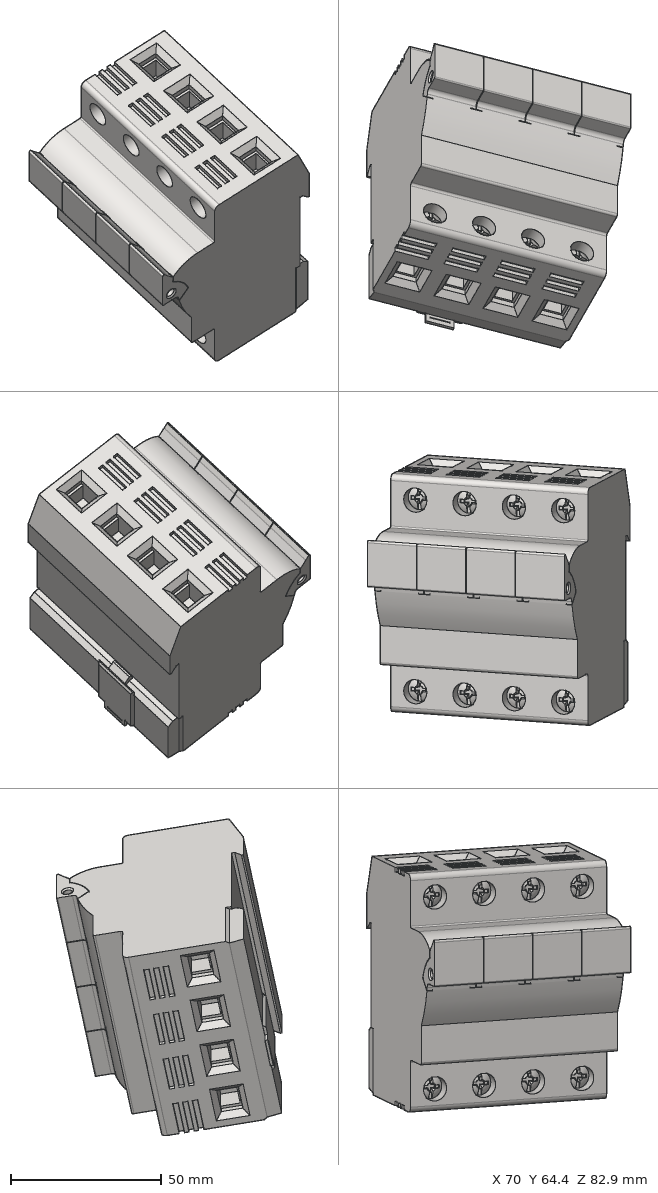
import cadquery as cq


module_count = 4
module_width = 17.5
width = module_count * module_width

body_top = 80.8
back_y = 4.0
front_y = -36.9
top_back_y = -0.9
back_slope_z = 67.4
rail_lip_z = 55.5
rail_lip_width = 0.6
rail_top_z = 57.9
rail_top_y = 1.1
edge_round = 2.0

nose_top_z = 62.85
nose_flat_y = -44.25
nose_tip_y = -54.9
nose_tip_z = 58.25
nose_face_y = -47.0
nose_face_top_z = 31.4
nose_bottom_z = 18.0
nose_curve_radius = 41.0
nose_curve_center_z = 53.0
nose_bottom_round = 0.8
nose_top_round = 0.5


def nose_front_y(z):
    """Y of the nose's convex lower front, a circular arc ending on the flat nose face."""
    face_rise = nose_face_top_z - nose_curve_center_z
    face_reach = (nose_curve_radius**2 - face_rise**2) ** 0.5
    reach = (nose_curve_radius**2 - (z - nose_curve_center_z) ** 2) ** 0.5
    return nose_face_y + face_reach - reach


seam_upper = (nose_tip_y, 55.8)
seam_shoulder = (-52.7, 54.3)
seam_mid = (-50.2, 51.5)
seam_corner = (-48.4, 47.9)
seam_bottom_z = 44.2
seam_bottom = (nose_front_y(seam_bottom_z), seam_bottom_z)

handle_front_y = -59.35
handle_top_z = 62.5
handle_bottom_z = 46.8
handle_tip_round = 0.7
handle_slope_break = (-57.3, 60.85)
handle_corner_round = 0.4
handle_neck_y = -53.9
handle_neck_drop = 1.5
handle_neck_round = 1.5
handle_gap = 0.25
cheek_width = 2.05
cheek_clearance = 0.15
pin_y = -55.6
pin_z = 50.35
pin_radius = 1.55
pin_chamfer = 0.55

screw_rows_z = (7.65, 72.7)
screw_radius = 4.1
screw_depth = 4.5
screw_dome_height = 1.2
slot_width = 1.2
slot_depth = 1.4
cross_length = 6.0
cross_core_length = 4.0
cross_core_radius = 1.6
cross_core_depth = 2.6

entry_y = -12.1
entry_size_x = 12.4
entry_size_y = 11.4
entry_slope = 2.05
throat_depth = 2.0
terminal_size_x = 6.4
terminal_size_y = 6.6
terminal_depth = 8.0

vent_length = 11.7
vent_width = 1.8
vent_pitch = 3.3
vent_first_y = -23.4
vent_rows = 3
vent_depth = 1.5

foot_front_y = -2.0
foot_slope_y = -0.9
foot_inset = 0.83
foot_height = 22.5
foot_edge_z = 20.9
foot_edge_y = 2.0
foot_bottom_rise = 1.2

clip_center_x = 1.5 * module_width
clip_width = module_width
clip_thickness = 1.0
clip_bottom_z = 1.6
clip_top_z = 22.9
clip_top_chamfer_z = 1.0
clip_top_chamfer_y = 0.6
clip_bevel = 0.9
tail_width = 10.0
tail_drop = 2.09
tail_slot_width = 7.2
tail_slot_height = 0.3
hook_width = 8.0
hook_tip_z = 25.0
hook_tip_back_y = 2.0
hook_tip_front_y = 1.2
hook_front_y = 0.6
hook_front_top_z = 23.3
hook_root_z = foot_edge_z - 1.0


def module_center(index):
    return (index + 0.5) * module_width


def prism(profile, start_x, length):
    """Extrude a closed YZ outline along X from start_x."""
    return profile.extrude(length).translate((start_x, 0, 0))


def body_section():
    return (
        cq.Workplane("YZ")
        .moveTo(foot_front_y, 0)
        .lineTo(foot_front_y, foot_height)
        .lineTo(0, foot_height)
        .lineTo(0, rail_top_z)
        .lineTo(rail_top_y, rail_top_z)
        .lineTo(back_y - rail_lip_width, rail_lip_z)
        .lineTo(back_y, rail_lip_z)
        .lineTo(back_y, back_slope_z)
        .lineTo(top_back_y, body_top)
        .lineTo(front_y + edge_round, body_top)
        .radiusArc((front_y, body_top - edge_round), -edge_round)
        .lineTo(front_y, nose_top_z + nose_top_round)
        .radiusArc((front_y - nose_top_round, nose_top_z), nose_top_round)
        .lineTo(nose_flat_y, nose_top_z)
        .tangentArcPoint((nose_tip_y, nose_tip_z), relative=False)
        .lineTo(*seam_upper)
        .lineTo(*seam_shoulder)
        .threePointArc(seam_mid, seam_corner)
        .lineTo(*seam_bottom)
        .radiusArc((nose_face_y, nose_face_top_z), -nose_curve_radius)
        .lineTo(nose_face_y, nose_bottom_z + nose_bottom_round)
        .radiusArc((nose_face_y + nose_bottom_round, nose_bottom_z), -nose_bottom_round)
        .lineTo(front_y - nose_bottom_round, nose_bottom_z)
        .radiusArc((front_y, nose_bottom_z - nose_bottom_round), nose_bottom_round)
        .lineTo(front_y, edge_round)
        .radiusArc((front_y + edge_round, 0), -edge_round)
        .close()
    )


def handle_section():
    neck_z = handle_bottom_z - handle_neck_drop
    return (
        cq.Workplane("YZ")
        .moveTo(nose_tip_y, nose_tip_z)
        .lineTo(*handle_slope_break)
        .lineTo(handle_front_y + handle_tip_round, handle_top_z)
        .radiusArc((handle_front_y, handle_top_z - handle_tip_round), -handle_tip_round)
        .lineTo(handle_front_y, handle_bottom_z + handle_corner_round)
        .radiusArc((handle_front_y + handle_corner_round, handle_bottom_z), -handle_corner_round)
        .lineTo(handle_neck_y, handle_bottom_z)
        .radiusArc((nose_front_y(neck_z), neck_z), handle_neck_round)
        .radiusArc(seam_bottom, -nose_curve_radius)
        .lineTo(*seam_corner)
        .threePointArc(seam_mid, seam_shoulder)
        .lineTo(*seam_upper)
        .close()
    )


def cheek_clearances():
    """Space around the handles at each module border, where they swing free."""
    cuts = cq.Workplane("YZ")
    for border in range(module_count + 1):
        strip = handle_section().offset2D(cheek_clearance)
        start_x = border * module_width - cheek_width
        cuts = cuts.add(prism(strip, start_x, 2 * cheek_width))
    return cuts.combine()


def handles():
    bar = prism(handle_section(), 0, width)
    for border in range(1, module_count):
        gap = prism(handle_section(), border * module_width - handle_gap / 2, handle_gap)
        bar = bar.cut(gap)
    return bar


def pin_hole():
    bore = cq.Workplane("YZ").center(pin_y, pin_z).circle(pin_radius).extrude(width)
    outer_radius = pin_radius + pin_chamfer
    axis = cq.Vector(1, 0, 0)
    start = cq.Solid.makeCone(outer_radius, pin_radius, pin_chamfer, cq.Vector(0, pin_y, pin_z), axis)
    end = cq.Solid.makeCone(outer_radius, pin_radius, pin_chamfer, cq.Vector(width, pin_y, pin_z), -axis)
    return bore.union(cq.Workplane(start)).union(cq.Workplane(end))


def arm(size_x, depth, size_z):
    """Driver recess arm reaching from the bore mouth to the given depth."""
    return cq.Workplane("XY").box(size_x, depth, size_z, (True, False, True))


def screw_recess():
    """Bore with a slotted, domed screw head at its floor; opens at the origin toward -Y."""
    dome_y = screw_depth - screw_dome_height
    bore = (
        cq.Workplane("XY")
        .moveTo(0, 0)
        .lineTo(screw_radius, 0)
        .lineTo(screw_radius, screw_depth)
        .threePointArc((screw_radius / 2, dome_y + screw_dome_height / 4), (0, dome_y))
        .close()
        .revolve(360, (0, 0), (0, 1))
    )
    slot_floor = dome_y + slot_depth
    core_floor = dome_y + cross_core_depth
    full_disc = cq.Workplane("XZ").circle(screw_radius).extrude(-slot_floor)
    slot = arm(slot_width, slot_floor, 2 * screw_radius).intersect(full_disc)
    cross = arm(cross_length, slot_floor, slot_width)
    socket = cq.Solid.makeCone(
        cross_core_radius,
        slot_width / 2,
        cross_core_depth,
        cq.Vector(0, dome_y, 0),
        cq.Vector(0, 1, 0),
    )
    core = (
        arm(cross_core_length, core_floor, slot_width)
        .union(arm(slot_width, core_floor, cross_core_length))
        .union(cq.Workplane(socket))
    )
    return bore.union(slot).union(cross).union(core)


def wire_opening():
    """Funnel, throat and terminal box, opening upward at Z = 0."""
    throat_x = entry_size_x - 2 * entry_slope
    throat_y = entry_size_y - 2 * entry_slope
    throat_floor = -entry_slope - throat_depth
    terminal_shift = (terminal_size_y - throat_y) / 2
    funnel = (
        cq.Workplane("XY")
        .rect(entry_size_x, entry_size_y)
        .workplane(offset=-entry_slope)
        .rect(throat_x, throat_y)
        .loft(ruled=True)
    )
    throat = cq.Workplane("XY", origin=(0, 0, -entry_slope)).rect(throat_x, throat_y).extrude(-throat_depth)
    terminal = (
        cq.Workplane("XY", origin=(0, terminal_shift, throat_floor))
        .rect(terminal_size_x, terminal_size_y)
        .extrude(-terminal_depth)
    )
    return funnel.union(throat).union(terminal)


def add_terminals(body):
    top_opening = wire_opening()
    bottom_opening = top_opening.mirror("XY")
    screw = screw_recess()
    for index in range(module_count):
        x = module_center(index)
        body = body.cut(top_opening.translate((x, entry_y, body_top)))
        body = body.cut(bottom_opening.translate((x, entry_y, 0)))
        for z in screw_rows_z:
            body = body.cut(screw.translate((x, front_y, z)))
    return body


def add_vents(body):
    vent = cq.Workplane("XY").box(vent_length, vent_width, 2 * vent_depth, (False, True, True))
    for index in range(module_count):
        for row in range(vent_rows):
            x = index * module_width
            y = vent_first_y - row * vent_pitch
            for z in (0, body_top):
                body = body.cut(vent.translate((x, y, z)))
    return body


def foot():
    side = (
        cq.Workplane("YZ")
        .moveTo(foot_front_y, 0)
        .lineTo(foot_slope_y, 0)
        .lineTo(back_y, foot_bottom_rise)
        .lineTo(back_y, foot_edge_z)
        .lineTo(foot_edge_y, foot_height)
        .lineTo(foot_front_y, foot_height)
        .close()
    )
    plan = (
        cq.Workplane("XY")
        .moveTo(0, foot_front_y)
        .lineTo(foot_inset, foot_slope_y)
        .lineTo(foot_inset, back_y)
        .lineTo(width - foot_inset, back_y)
        .lineTo(width - foot_inset, foot_slope_y)
        .lineTo(width, foot_front_y)
        .close()
        .extrude(foot_height)
    )
    return prism(side, 0, width).intersect(plan)


def clip():
    half = clip_width / 2
    outer_y = back_y + clip_thickness
    plan = (
        cq.Workplane("XY", origin=(clip_center_x, 0, clip_bottom_z))
        .polyline(
            [
                (-half, back_y),
                (half, back_y),
                (half - clip_bevel, outer_y),
                (clip_bevel - half, outer_y),
            ]
        )
        .close()
        .extrude(clip_top_z - clip_bottom_z)
    )
    plate = plan.faces(">Z").edges(">Y").chamfer(clip_top_chamfer_z, clip_top_chamfer_y)

    tail_height = tail_drop + clip_bottom_z
    tail = cq.Workplane("XY").box(tail_width, clip_thickness, tail_height, (True, False, False))
    tail = tail.translate((clip_center_x, back_y, -tail_drop))
    tail_slot = cq.Workplane("XY").box(
        tail_slot_width, clip_thickness, tail_slot_height, (True, False, False)
    )
    tail = tail.cut(tail_slot.translate((clip_center_x, back_y, -tail_slot_height)))

    hook_side = (
        cq.Workplane("YZ")
        .moveTo(back_y, hook_root_z)
        .lineTo(back_y, clip_top_z)
        .lineTo(hook_tip_back_y, hook_tip_z)
        .lineTo(hook_tip_front_y, hook_tip_z)
        .lineTo(hook_front_y, hook_front_top_z)
        .lineTo(hook_front_y, hook_root_z)
        .close()
    )
    hook = prism(hook_side, clip_center_x - hook_width / 2, hook_width)
    return plate.union(tail).union(hook)


body = prism(body_section(), 0, width)
body = body.union(foot())
body = add_terminals(body)
body = add_vents(body)
body = body.cut(cheek_clearances())
body = body.union(handles()).cut(pin_hole())
result = body.union(clip())